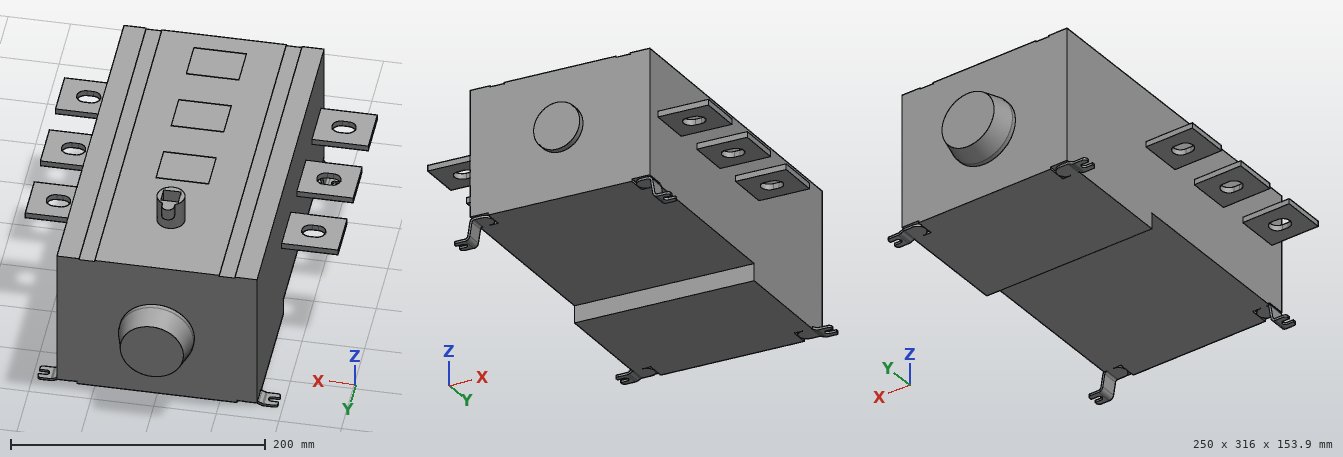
import cadquery as cq
import math

BODY_WIDTH = 160.0
BODY_LENGTH = 288.5
BODY_TOP = 129.9
STRIP_THICKNESS = 2.0
REAR_BOTTOM = STRIP_THICKNESS
FRONT_BOTTOM = 17.0
REAR_BLOCK_LENGTH = 114.0

GROOVE_WIDTH = 12.5
GROOVE_DEPTH = 1.0
GROOVE_CENTRE_X = 56.0

POLE_COUNT = 3
POLE_PITCH = 65.0
FIRST_POLE_Y = 33.0
TERMINAL_Z = 78.0
TERMINAL_SPAN = 250.0
TERMINAL_WIDTH = 39.0
TERMINAL_THICKNESS = 5.0
SLOT_CENTRE_X = 102.0
SLOT_LENGTH = 19.0
SLOT_WIDTH = 14.0
WINDOW_WIDTH = 42.0
WINDOW_LENGTH = 32.5
WINDOW_DEPTH = 0.5

SHAFT_Y = BODY_LENGTH - 60.5
SHAFT_DIAMETER = 22.0
SHAFT_HEIGHT = 24.0
SOCKET_WIDTH = 14.0
SOCKET_LENGTH = 12.5
LUG_WIDTH = 10.0
LUG_REACH = 17.5
LUG_HEIGHT = 10.0

BOSS_DIAMETER = 41.0
BOSS_LENGTH = 5.5

KNOB_Z = 62.3
KNOB_DIAMETER = 60.0
KNOB_END_DIAMETER = 50.5
KNOB_COLLAR = 4.0
KNOB_LENGTH = 22.0

FEET_SPAN = 192.0
BRACKET_WIDTH = 14.5
BRACKET_INSET = 2.2
BEND_RADIUS = 2.2
TAB_END_X = 64.0
FRONT_HEEL_X = 82.8
REAR_HEEL_X = 84.3
FOOT_SLOT_WIDTH = 5.2
FOOT_SLOT_DEPTH = 8.5
FOOT_CORNER_RADIUS = 2.5

half_width = BODY_WIDTH / 2
pole_positions = [FIRST_POLE_Y + POLE_PITCH * i for i in range(POLE_COUNT)]


def block(x_range, y_range, z_range):
    """Box between the given limits."""
    (x0, x1), (y0, y1), (z0, z1) = x_range, y_range, z_range
    return cq.Workplane("XY").box(x1 - x0, y1 - y0, z1 - z0, centered=False).translate((x0, y0, z0))


def make_body():
    """Housing whose rear part reaches lower, with two grooves along its top."""
    side_outline = [
        (0, FRONT_BOTTOM),
        (BODY_LENGTH - REAR_BLOCK_LENGTH, FRONT_BOTTOM),
        (BODY_LENGTH - REAR_BLOCK_LENGTH, REAR_BOTTOM),
        (BODY_LENGTH, REAR_BOTTOM),
        (BODY_LENGTH, BODY_TOP),
        (0, BODY_TOP),
    ]
    body = cq.Workplane("YZ").polyline(side_outline).close().extrude(half_width, both=True)
    for side in (-1, 1):
        groove = cq.Workplane("XY").box(GROOVE_WIDTH, BODY_LENGTH, 2 * GROOVE_DEPTH)
        body = body.cut(groove.translate((side * GROOVE_CENTRE_X, BODY_LENGTH / 2, BODY_TOP)))
    return body


def cut_windows(body):
    """Shallow rectangular recess in the top above each pole."""
    for y in pole_positions:
        window = cq.Workplane("XY").box(WINDOW_WIDTH, WINDOW_LENGTH, 2 * WINDOW_DEPTH)
        body = body.cut(window.translate((0, y, BODY_TOP)))
    return body


def make_terminal(y):
    """Flat bar through the housing with a slot in each protruding end."""
    bar = cq.Workplane("XY").box(TERMINAL_SPAN, TERMINAL_WIDTH, TERMINAL_THICKNESS)
    slots = (
        cq.Workplane("XY")
        .pushPoints([(-SLOT_CENTRE_X, 0), (SLOT_CENTRE_X, 0)])
        .slot2D(SLOT_LENGTH, SLOT_WIDTH)
        .extrude(TERMINAL_THICKNESS, both=True)
    )
    return bar.cut(slots).translate((0, y, TERMINAL_Z))


def make_shaft():
    """Round shaft with a lug at its upper end and a square socket down to the housing top."""
    shaft = cq.Workplane("XY").circle(SHAFT_DIAMETER / 2).extrude(SHAFT_HEIGHT)
    lug_centre = LUG_REACH - LUG_WIDTH / 2
    lug = (
        cq.Workplane("XY")
        .workplane(offset=SHAFT_HEIGHT - LUG_HEIGHT)
        .center(0, lug_centre / 2)
        .slot2D(lug_centre + LUG_WIDTH, LUG_WIDTH, 90)
        .extrude(LUG_HEIGHT)
    )
    socket = cq.Workplane("XY").rect(SOCKET_WIDTH, SOCKET_LENGTH).extrude(SHAFT_HEIGHT)
    return shaft.union(lug).cut(socket).translate((0, SHAFT_Y, BODY_TOP))


def make_boss():
    """Short round boss on the front face."""
    return cq.Workplane("XZ").center(0, TERMINAL_Z).circle(BOSS_DIAMETER / 2).extrude(BOSS_LENGTH)


def make_knob():
    """Collar and tapered grip, revolved about an axis along Y."""
    profile = [
        (0, 0),
        (KNOB_DIAMETER / 2, 0),
        (KNOB_DIAMETER / 2, KNOB_COLLAR),
        (KNOB_END_DIAMETER / 2, KNOB_LENGTH),
        (0, KNOB_LENGTH),
    ]
    knob = cq.Workplane("XY").polyline(profile).close().revolve(360, (0, 0, 0), (0, 1, 0))
    return knob.translate((0, BODY_LENGTH, KNOB_Z))


def make_strip(heel_x, seat_z):
    """Strip bent at the heel and at the shoulder, centred on Y = 0, on the +X side."""
    half_thickness = STRIP_THICKNESS / 2
    slope = math.atan2(seat_z, heel_x - half_width)
    mitre = half_thickness * math.tan(slope / 2)
    seat_top = seat_z + STRIP_THICKNESS
    lower_bends = [(heel_x - mitre, 0), (half_width - mitre, seat_z)]
    upper_bends = [(half_width + mitre, seat_top), (heel_x + mitre, STRIP_THICKNESS)]
    outline = [
        (FEET_SPAN / 2, 0),
        *lower_bends,
        (TAB_END_X, seat_z),
        (TAB_END_X, seat_top),
        *upper_bends,
        (FEET_SPAN / 2, STRIP_THICKNESS),
    ]
    strip = cq.Workplane("XZ").polyline(outline).close().extrude(BRACKET_WIDTH / 2, both=True)

    inner_radius = BEND_RADIUS
    outer_radius = BEND_RADIUS + STRIP_THICKNESS
    bends = [
        (lower_bends[0], outer_radius),
        (lower_bends[1], inner_radius),
        (upper_bends[0], outer_radius),
        (upper_bends[1], inner_radius),
    ]
    for (x, z), radius in bends:
        strip = strip.edges(cq.NearestToPointSelector((x, 0, z))).fillet(radius)
    return strip


def make_bracket(heel_x, seat_z):
    """Bent strip with a rounded tab end and an open slot in its foot."""
    foot_end = FEET_SPAN / 2
    strip = make_strip(heel_x, seat_z)
    strip = strip.edges("|Z and >X").fillet(FOOT_CORNER_RADIUS)

    tab_length = foot_end - TAB_END_X
    plan_outline = (
        cq.Workplane("XY")
        .center(foot_end, 0)
        .slot2D(2 * tab_length, BRACKET_WIDTH)
        .extrude(seat_z + STRIP_THICKNESS)
    )
    foot_slot = (
        cq.Workplane("XY")
        .center(foot_end, 0)
        .slot2D(2 * FOOT_SLOT_DEPTH, FOOT_SLOT_WIDTH)
        .extrude(STRIP_THICKNESS)
    )
    return strip.intersect(plan_outline).cut(foot_slot)


def cut_seats(body, y_range, seat_z):
    """Notches in the housing underside, open to the sides and to the end face, for two brackets."""
    z_range = (seat_z, seat_z + STRIP_THICKNESS)
    body = body.cut(block((TAB_END_X, half_width), y_range, z_range))
    return body.cut(block((-half_width, -TAB_END_X), y_range, z_range))


def add_bracket_pair(body, y, heel_x, seat_z):
    """A bracket on the +X side and its mirror image on the -X side, centred on y."""
    bracket = make_bracket(heel_x, seat_z).translate((0, y, 0))
    return body.union(bracket).union(bracket.mirror("YZ"))


seat_length = BRACKET_INSET + BRACKET_WIDTH
bracket_offset = BRACKET_INSET + BRACKET_WIDTH / 2

result = cut_windows(make_body())
result = cut_seats(result, (0, seat_length), FRONT_BOTTOM)
result = cut_seats(result, (BODY_LENGTH - seat_length, BODY_LENGTH), REAR_BOTTOM)
result = add_bracket_pair(result, bracket_offset, FRONT_HEEL_X, FRONT_BOTTOM)
result = add_bracket_pair(result, BODY_LENGTH - bracket_offset, REAR_HEEL_X, REAR_BOTTOM)
for pole_y in pole_positions:
    result = result.union(make_terminal(pole_y))
result = result.union(make_shaft()).union(make_boss()).union(make_knob())